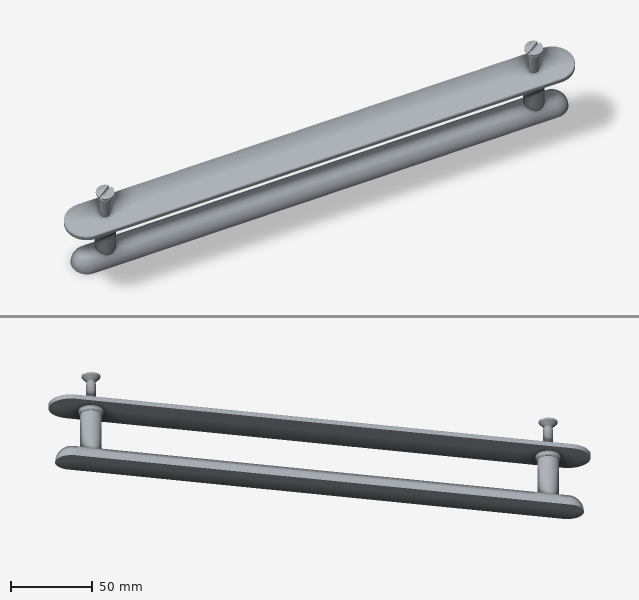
import cadquery as cq

total_height = 60.5
post_spacing = 288.3
post_positions = [(0, -post_spacing / 2), (0, post_spacing / 2)]

rail_length = 333.0
rail_radius = 10.2

plate_length = 341
plate_width = 28.0
plate_thickness = 3.0
plate_top = 40.0
plate_bottom = plate_top - plate_thickness
plate_edge_chamfer = 0.5

post_diameter = 13.3
collar_diameter = 15.5
collar_height = 3.0
collar_bottom = plate_bottom - collar_height
collar_edge_chamfer = 0.7

shank_diameter = 6.0
screw_length = 34
head_diameter = 11.5
head_rim_height = 1.0
head_cone_height = 3.0
neck_height = 1.5
neck_diameter = 5.5
slot_width = 1.7
slot_depth = 1.5
slot_angle = -55

screw_tip = total_height - screw_length


def cylinder(diameter, bottom, top, position=(0, 0)):
    """Vertical cylinder between two heights."""
    return (
        cq.Workplane("XY", origin=(*position, bottom))
        .circle(diameter / 2)
        .extrude(top - bottom)
    )


def make_rail():
    """Upper half of a round bar with spherical ends, lying flat on Z = 0."""
    end_center = rail_length / 2 - rail_radius
    bar = (
        cq.Workplane("XZ", origin=(0, end_center, 0))
        .moveTo(-rail_radius, 0)
        .threePointArc((0, rail_radius), (rail_radius, 0))
        .close()
        .extrude(2 * end_center)
    )
    for y in (-end_center, end_center):
        dome = cq.Workplane("XY").sphere(rail_radius, angle1=0).translate((0, y, 0))
        bar = bar.union(dome)
    return bar


def make_handle():
    """Grip rail with two posts, each with a blind bore for a screw."""
    handle = make_rail()
    for position in post_positions:
        handle = handle.union(cylinder(post_diameter, rail_radius / 2, collar_bottom, position))
        handle = handle.cut(cylinder(shank_diameter, screw_tip, collar_bottom, position))
    return handle


def make_plate():
    """Round-ended plate with a hole for each screw."""
    return (
        cq.Workplane("XY", origin=(0, 0, plate_bottom))
        .slot2D(plate_length, plate_width, 90)
        .extrude(plate_thickness)
        .faces(">Z")
        .chamfer(plate_edge_chamfer)
        .faces("<Z")
        .workplane(origin=(0, 0, plate_bottom))
        .pushPoints(post_positions)
        .hole(shank_diameter)
    )


def make_collar(position):
    """Ring between a post and the plate, chamfered on its lower rim."""
    collar = cylinder(collar_diameter, collar_bottom, plate_bottom, position)
    collar = collar.faces("<Z").chamfer(collar_edge_chamfer)
    bore = cylinder(shank_diameter, collar_bottom, plate_bottom, position)
    return collar.cut(bore)


def make_screw(position):
    """Countersunk screw with a narrow neck and a straight driver slot."""
    rim_bottom = total_height - head_rim_height
    cone_bottom = rim_bottom - head_cone_height
    neck_bottom = cone_bottom - neck_height
    body = (
        cq.Workplane("XZ")
        .moveTo(0, screw_tip)
        .lineTo(shank_diameter / 2, screw_tip)
        .lineTo(shank_diameter / 2, neck_bottom)
        .lineTo(neck_diameter / 2, neck_bottom)
        .lineTo(neck_diameter / 2, cone_bottom)
        .lineTo(head_diameter / 2, rim_bottom)
        .lineTo(head_diameter / 2, total_height)
        .lineTo(0, total_height)
        .close()
        .revolve(360, (0, 0, 0), (0, 1, 0))
    )
    slot = (
        cq.Workplane("XY", origin=(0, 0, total_height - slot_depth))
        .transformed(rotate=(0, 0, slot_angle))
        .rect(2 * head_diameter, slot_width)
        .extrude(slot_depth)
    )
    return body.cut(slot).translate((*position, 0))


handle = make_handle()
plate = make_plate()
collars = [make_collar(position) for position in post_positions]
screws = [make_screw(position) for position in post_positions]

result = cq.Compound.makeCompound(
    [handle.val(), plate.val()]
    + [collar.val() for collar in collars]
    + [screw.val() for screw in screws]
)